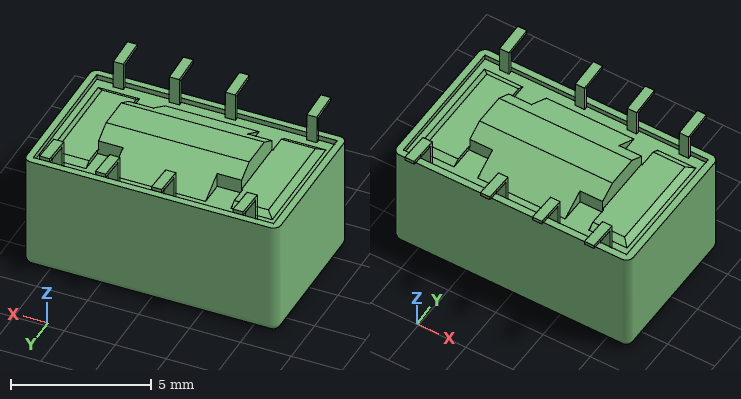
import cadquery as cq
import math

length = 10.0
width = 6.0
overall_width = 7.52
overall_height = 5.65
pin_rise = 1.0
rim_z = overall_height - pin_rise
edge_radius = 0.3
rim_thickness = 0.28
recess_depth = 0.2
floor_z = rim_z - recess_depth

slope_angle = 30.0
slope = math.tan(math.radians(slope_angle))
plinth_length = 8.94
plinth_width = 4.58
plinth_slope_run = 0.28
plinth_height = plinth_slope_run * slope
ridge_length = 5.62
ridge_top_width = 1.3
ridge_height = (plinth_width - ridge_top_width) / 2 * slope

notch_length = 1.0
notch_outer_x = 2.85
notch_inner_y = 1.3

pin_x_positions = (-3.8, -0.6, 1.6, 3.8)
pin_width = 0.4
pin_thickness = 0.14
pin_inner_y = 2.55
pin_tip_y = overall_width / 2
arm_rise = 0.07


def make_housing():
    body = cq.Workplane("XY").box(length, width, rim_z, centered=(True, True, False))
    body = body.edges("|Z").fillet(edge_radius)
    body = body.faces("<Z").edges().fillet(edge_radius)
    recess = (
        cq.Workplane("XY", origin=(0, 0, floor_z))
        .rect(length - 2 * rim_thickness, width - 2 * rim_thickness)
        .extrude(recess_depth)
    )
    return body.cut(recess)


def make_plinth():
    """Low frustum with all four sides sloped."""
    return (
        cq.Workplane("XY", origin=(0, 0, floor_z))
        .rect(plinth_length, plinth_width)
        .workplane(offset=plinth_height)
        .rect(plinth_length - 2 * plinth_slope_run, plinth_width - 2 * plinth_slope_run)
        .loft(ruled=True)
    )


def make_ridge():
    """Trapezoidal ridge along X with a flat top and upright ends."""
    ridge_top_z = floor_z + ridge_height
    return (
        cq.Workplane("YZ", origin=(-ridge_length / 2, 0, 0))
        .moveTo(-plinth_width / 2, floor_z)
        .lineTo(plinth_width / 2, floor_z)
        .lineTo(ridge_top_width / 2, ridge_top_z)
        .lineTo(-ridge_top_width / 2, ridge_top_z)
        .close()
        .extrude(ridge_length)
    )


def make_notches():
    notch_width = plinth_width / 2 - notch_inner_y
    notch_centre_x = notch_outer_x - notch_length / 2
    notch_centre_y = notch_inner_y + notch_width / 2
    return (
        cq.Workplane("XY", origin=(0, 0, floor_z))
        .rect(2 * notch_centre_x, 2 * notch_centre_y, forConstruction=True)
        .vertices()
        .rect(notch_length, notch_width)
        .extrude(ridge_height)
    )


def make_pin(x, side):
    """Bent pin centred on x; side is +1 for the +Y row and -1 for the -Y row."""
    heel_z = overall_height - arm_rise
    leg_outer_y = pin_inner_y + pin_thickness
    profile = [
        (pin_inner_y, floor_z),
        (pin_inner_y, heel_z),
        (pin_tip_y, overall_height),
        (pin_tip_y, overall_height - pin_thickness),
        (leg_outer_y, heel_z - pin_thickness),
        (leg_outer_y, floor_z),
    ]
    return (
        cq.Workplane("YZ", origin=(x - pin_width / 2, 0, 0))
        .polyline([(side * y, z) for y, z in profile])
        .close()
        .extrude(pin_width)
    )


plateau = make_plinth().union(make_ridge()).cut(make_notches())
result = make_housing().union(plateau)
for pin_x in pin_x_positions:
    for row_side in (-1, 1):
        result = result.union(make_pin(pin_x, row_side))